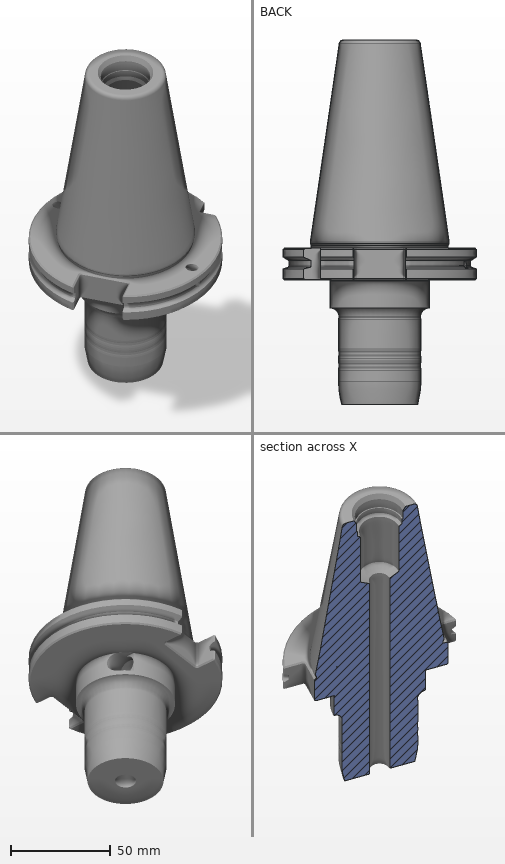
import cadquery as cq
import math

total_height = 183.6
gauge_z = 81.9
flange_top_z = 78.8
flange_bottom_z = 62.8
boss_bottom_z = 48.7
nose_start_z = 11.5

gauge_diameter = 70.0
gauge_radius = gauge_diameter / 2
taper_ratio = 7 / 24
taper_band_height = 0.7
undercut_radius = 34.5
undercut_bevel_height = 1.0
taper_tip_fillet = 2.2
tip_radius = gauge_radius - (total_height - gauge_z) * taper_ratio / 2

flange_diameter = 97.5
flange_radius = flange_diameter / 2
flange_chamfer = 0.7
grip_floor_radius = 45.7
grip_floor_top_z = 72.5
grip_floor_bottom_z = 70.1
grip_upper_side_angle = 31
grip_step_width = 0.28
grip_step_radius = grip_floor_radius + grip_step_width
grip_step_z = 69.2
grip_lower_edge_z = 68.3

slot_width = 25.7
slot_floor_minus_y = 35.5
slot_floor_plus_y = 37.0
slot_corner_radius = 1.0
slot_edge_chamfer = 0.7
notch_x = 29.7
notch_y = 30.0
boss_radius = 25.0
boss_edge_chamfer = 0.5

shank_radius = 20.7
neck_relief = 0.2
neck_fillet = 4.2
neck_length = 0.5
neck_bevel_height = 1.1
nose_radius = 19.1
seal_bevel_depth = 0.1
seal_depth = 0.2
seal_bevel_width = 1.1
seal_wall_width = 0.5
seal_width = 4.8
seal_centers = (25.7, 19.6)

mouth_radius = 14.0
mouth_depth = 2.5
pilot_radius = 12.5
pilot_depth = 8.3
thread_relief_radius = 12.0
thread_relief_depth = 11.8
ledge_depth = 12.9
thread_radius = 10.3
thread_depth = 45.0
through_radius = 5.3
drill_half_angle = 59

coolant_circle_radius = 42.0
coolant_angle = 20
coolant_radius = 2.8
coolant_tilt = 32
coolant_length = 4.0
plug_radius = 1.8
plug_depth = 3.7
plug_z = 70.7

screw_y = -12.7
screw_z = 56.7
screw_diameter = 11.2
screw_radius = screw_diameter / 2
screw_floor_x = -16.7
screw_hole_depth = 3.7


def drill_tip(radius):
    """Length of the conical end left by a drill."""
    return radius / math.tan(math.radians(drill_half_angle))


def revolve(profile):
    """Close a half profile and turn it once around the spindle axis."""
    return profile.close().revolve(360, (0, 0, 0), (0, 1, 0))


def make_body():
    """Nose, shank, boss, flange and taper turned as one profile."""
    neck_radius = shank_radius - neck_relief
    neck_top_z = boss_bottom_z - neck_fillet
    neck_bottom_z = neck_top_z - neck_length
    nose_slope = math.atan2(shank_radius - nose_radius, nose_start_z)
    nose_arc_radius = math.hypot(shank_radius - nose_radius, nose_start_z) / (2 * math.sin(nose_slope))
    nose_mid = (
        shank_radius - nose_arc_radius * (1 - math.cos(nose_slope)),
        nose_start_z - nose_arc_radius * math.sin(nose_slope),
    )
    body = revolve(
        cq.Workplane("XZ")
        .lineTo(nose_radius, 0)
        .threePointArc(nose_mid, (shank_radius, nose_start_z))
        .lineTo(shank_radius, neck_bottom_z - neck_bevel_height)
        .lineTo(neck_radius, neck_bottom_z)
        .lineTo(neck_radius, neck_top_z)
        .radiusArc((neck_radius + neck_fillet, boss_bottom_z), neck_fillet)
        .lineTo(boss_radius, boss_bottom_z)
        .lineTo(boss_radius, flange_bottom_z - boss_edge_chamfer)
        .lineTo(boss_radius - boss_edge_chamfer, flange_bottom_z)
        .lineTo(flange_radius - flange_chamfer, flange_bottom_z)
        .lineTo(flange_radius, flange_bottom_z + flange_chamfer)
        .lineTo(flange_radius, flange_top_z - flange_chamfer)
        .lineTo(flange_radius - flange_chamfer, flange_top_z)
        .lineTo(undercut_radius, flange_top_z)
        .lineTo(undercut_radius, gauge_z - taper_band_height - undercut_bevel_height)
        .lineTo(gauge_radius, gauge_z - taper_band_height)
        .lineTo(gauge_radius, gauge_z)
        .lineTo(tip_radius, total_height)
        .lineTo(0, total_height)
    )
    return body.faces(">Z").edges().fillet(taper_tip_fillet)


def grip_groove():
    """Groove around the flange rim with a flat floor, a steep foot and two sloping sides."""
    upper_rise = (flange_radius - grip_floor_radius) * math.tan(math.radians(grip_upper_side_angle))
    return revolve(
        cq.Workplane("XZ")
        .moveTo(flange_radius, grip_lower_edge_z)
        .lineTo(grip_step_radius, grip_step_z)
        .lineTo(grip_floor_radius, grip_floor_bottom_z)
        .lineTo(grip_floor_radius, grip_floor_top_z)
        .lineTo(flange_radius, grip_floor_top_z + upper_rise)
    )


def seal_groove(center_z):
    """Shallow ring groove around the shank with bevelled sides in two steps."""
    mouth_half = seal_width / 2
    step_half = mouth_half - seal_bevel_width
    floor_half = step_half - seal_wall_width
    step_radius = shank_radius - seal_bevel_depth
    floor_radius = shank_radius - seal_depth
    return revolve(
        cq.Workplane("XZ", origin=(0, 0, center_z))
        .moveTo(shank_radius, -mouth_half)
        .lineTo(step_radius, -step_half)
        .lineTo(floor_radius, -floor_half)
        .lineTo(floor_radius, floor_half)
        .lineTo(step_radius, step_half)
        .lineTo(shank_radius, mouth_half)
    )


def axial_bore():
    """Stepped pull stud bore from the taper end and the passage to the nose."""
    thread_end_z = total_height - thread_depth
    cone_end_z = thread_end_z - drill_tip(thread_radius) + drill_tip(through_radius)
    return revolve(
        cq.Workplane("XZ")
        .lineTo(through_radius, 0)
        .lineTo(through_radius, cone_end_z)
        .lineTo(thread_radius, thread_end_z)
        .lineTo(thread_radius, total_height - ledge_depth)
        .lineTo(thread_relief_radius, total_height - thread_relief_depth)
        .lineTo(thread_relief_radius, total_height - pilot_depth)
        .lineTo(pilot_radius, total_height - pilot_depth)
        .lineTo(pilot_radius, total_height - mouth_depth)
        .lineTo(mouth_radius, total_height)
        .lineTo(0, total_height)
    )


def cut_drive_slot(body, floor_distance, side):
    """Cut a bevelled slot through the flange rim; side is +1 for +Y and -1 for -Y."""
    reach = flange_radius + slot_width
    slot = (
        cq.Workplane("XY", origin=(0, side * (floor_distance + reach) / 2, flange_bottom_z))
        .rect(slot_width, reach - floor_distance)
        .extrude(flange_top_z - flange_bottom_z)
        .edges("|Z")
        .fillet(slot_corner_radius)
    )
    notched = body.cut(slot)
    margin = slot_edge_chamfer / 4
    rim = cq.selectors.BoxSelector(
        (-slot_width / 2 - margin, side * (floor_distance - margin), flange_bottom_z - margin),
        (slot_width / 2 + margin, side * reach, flange_top_z + margin),
        boundingbox=True,
    )
    slot_corners = cq.selectors.BoxSelector(
        (-slot_width, side * (floor_distance - margin), flange_bottom_z + margin),
        (slot_width, side * (floor_distance + 2 * slot_corner_radius), flange_top_z - margin),
    )
    return notched.edges(rim - slot_corners).chamfer(slot_edge_chamfer)


def coolant_hole():
    """Blind hole drilled into the flange top on the +X side, inclined towards the axis along X."""
    tilt = math.radians(coolant_tilt)
    angle = math.radians(coolant_angle)
    drill_axis = cq.Vector(-math.sin(tilt), 0, -math.cos(tilt))
    entry = cq.Vector(
        coolant_circle_radius * math.cos(angle),
        -coolant_circle_radius * math.sin(angle),
        flange_top_z,
    )
    lead = 2 * coolant_radius
    start = entry - drill_axis * lead
    bottom = entry + drill_axis * coolant_length
    hole = cq.Solid.makeCylinder(coolant_radius, coolant_length + lead, start, drill_axis)
    tip = cq.Solid.makeCone(coolant_radius, 0, drill_tip(coolant_radius), bottom, drill_axis)
    return cq.Workplane(hole).union(cq.Workplane(tip))


def plug_hole():
    """Small radial hole in the floor of the gripper groove on the +X side."""
    start = cq.Vector(flange_radius, 0, plug_z)
    length = flange_radius - grip_floor_radius + plug_depth
    hole = cq.Solid.makeCylinder(plug_radius, length, start, cq.Vector(-1, 0, 0))
    return cq.Workplane(hole).rotate((0, 0, 0), (0, 0, 1), -coolant_angle)


def screw_pocket():
    """Flat-floored seat open towards -Y with a drilled hole in its floor."""
    seat_depth = boss_radius + screw_floor_x
    plane = cq.Plane(origin=(screw_floor_x, screw_y, screw_z), xDir=(0, -1, 0), normal=(-1, 0, 0))
    seat = cq.Workplane(plane).circle(screw_radius).extrude(seat_depth)
    opening = (
        cq.Workplane(plane)
        .rect(boss_radius, 2 * screw_radius)
        .extrude(seat_depth)
        .translate((0, -boss_radius / 2, 0))
    )
    tip = drill_tip(screw_radius)
    inward = cq.Vector(1, 0, 0)
    hole = cq.Solid.makeCylinder(screw_radius, screw_hole_depth, plane.origin, inward)
    cone = cq.Solid.makeCone(screw_radius, 0, tip, plane.origin + inward * screw_hole_depth, inward)
    return seat.union(opening).union(cq.Workplane(hole)).union(cq.Workplane(cone))


def rim_notch():
    """Square corner cut out of the flange rim at +X +Y."""
    return (
        cq.Workplane("XY", origin=(notch_x, notch_y, flange_bottom_z))
        .rect(flange_radius, flange_radius, centered=False)
        .extrude(flange_top_z - flange_bottom_z)
    )


result = make_body()
result = cut_drive_slot(result, slot_floor_minus_y, -1)
result = cut_drive_slot(result, slot_floor_plus_y, 1)
result = result.cut(grip_groove())
result = result.cut(rim_notch())
result = result.cut(axial_bore())
for seal_z in seal_centers:
    result = result.cut(seal_groove(seal_z))
rim_holes = coolant_hole().union(plug_hole())
for turn in (0, 180):
    result = result.cut(rim_holes.rotate((0, 0, 0), (0, 0, 1), turn))
result = result.cut(screw_pocket()).solids()